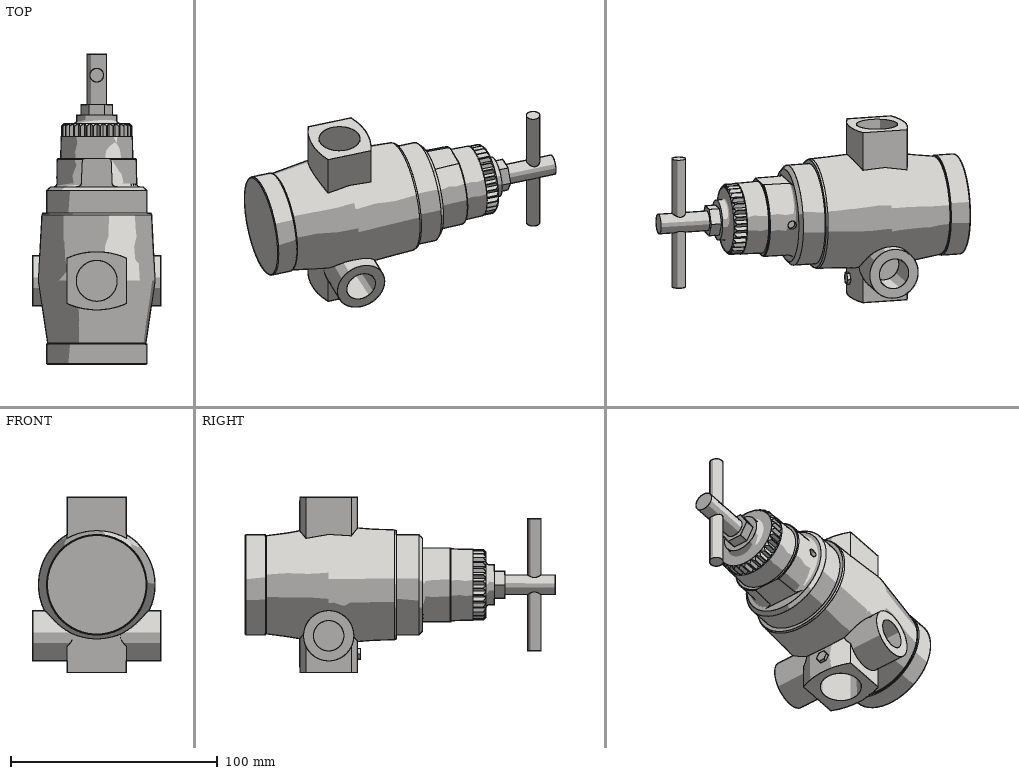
import cadquery as cq
import math


overall_length = 149.92

barrel_front_y = -30.1
barrel_rear_y = 32.7
barrel_front_radius = 23.8
barrel_mid_radius = 28.25
barrel_rear_radius = 26.6
barrel_edge_chamfer = 0.9
barrel_edge_chamfer_radial = 0.4

port_height = 84.84
port_width = 28.7
port_depth = 28.1
port_corner_depth = 22.0
port_bore_diameter = 19.8
port_bore_depth = 18.0

tube_length = 61.98
tube_diameter = 24.3
tube_z = -24.65
tube_bore_diameter = 14.7
tube_bore_depth = 18.0

plug_across_flats = 5.3
plug_height = 1.45
plug_z = -33.4

cap_front_y = -40.36
cap_radius = 24.3
cap_chamfer = 0.45
cap_groove_radius = 23.4
cap_groove_width = 0.5

ring_radius = cap_radius
ring_rear_y = 45.4
ring_chamfer = 1.8
neck_rear_y = 59.15
neck_front_radius = 19.4
neck_rear_radius = 19.2
neck_edge_chamfer = 0.4
neck_fillet = 1.5
neck_across_flats = 35.8
screw_hole_diameter = 4.0
screw_hole_depth = 2.5
screw_hole_y = 47.9

skirt_rear_y = 69.7
skirt_front_radius = 17.5
skirt_rear_radius = 17.25
grip_rear_y = 76.1
grip_radius = 17.05
grip_chamfer = 1.25
groove_count = 32
grip_groove_depth = 1.3
grip_land_width = 0.1
collar_radius = 9.75
collar_rear_y = 80.1
collar_fillet = 1.5

nut_across_flats = 13.2
nut_rear_y = 85.2
spindle_diameter = 9.6
spindle_rear_y = cap_front_y + overall_length
bar_diameter = 6.6
bar_length = 63.9
bar_y = 99.45


def revolve_about_y(points):
    """Solid of revolution about Y from (radius, y) outline points."""
    return cq.Workplane("XY").polyline(points).close().revolve(360, (0, 0, 0), (0, 1, 0))


def plane_at_y(y, z=0):
    """Work plane facing +Y whose local axes are -X and Z."""
    return cq.Workplane(cq.Plane(origin=(0, y, z), xDir=(-1, 0, 0), normal=(0, 1, 0)))


def hexagon(across_flats, y_start, y_end, z=0):
    """Hexagonal prism along Y with two corners on the X direction."""
    across_corners = across_flats / math.cos(math.pi / 6)
    return plane_at_y(y_start, z).polygon(6, across_corners).extrude(y_end - y_start)


def make_filleted_post(base_y, base_radius, top_y, top_radius, fillet, edge_chamfer=0.0):
    """Round post along Y with a concave fillet at its base and an optional chamfer at its top."""
    arc_inset = fillet * (1 - math.sqrt(0.5))
    outline = (
        cq.Workplane("XY")
        .moveTo(0, base_y)
        .lineTo(base_radius + fillet, base_y)
        .threePointArc(
            (base_radius + arc_inset, base_y + arc_inset),
            (base_radius, base_y + fillet),
        )
        .lineTo(top_radius, top_y - edge_chamfer)
    )
    if edge_chamfer > 0:
        outline = outline.lineTo(top_radius - edge_chamfer, top_y)
    return outline.lineTo(0, top_y).close().revolve(360, (0, 0, 0), (0, 1, 0))


def make_barrel():
    return revolve_about_y([
        (0, barrel_front_y),
        (barrel_front_radius, barrel_front_y),
        (barrel_mid_radius, 0),
        (barrel_rear_radius, barrel_rear_y - barrel_edge_chamfer),
        (barrel_rear_radius - barrel_edge_chamfer_radial, barrel_rear_y),
        (0, barrel_rear_y),
    ])


def make_port_block():
    """Prism along Z with flat sides and bowed front and rear faces."""
    half_width = port_width / 2
    half_corner = port_corner_depth / 2
    half_depth = port_depth / 2
    return (
        cq.Workplane("XY")
        .moveTo(-half_width, -half_corner)
        .threePointArc((0, -half_depth), (half_width, -half_corner))
        .lineTo(half_width, half_corner)
        .threePointArc((0, half_depth), (-half_width, half_corner))
        .close()
        .extrude(port_height / 2, both=True)
    )


def make_housing():
    tube = (
        cq.Workplane("YZ")
        .center(0, tube_z)
        .circle(tube_diameter / 2)
        .extrude(tube_length / 2, both=True)
    )
    plug = hexagon(plug_across_flats, 0, port_depth / 2 + plug_height, plug_z)
    body = make_barrel().union(make_port_block()).union(tube).union(plug)
    for side in (-1, 1):
        port_bore = (
            cq.Workplane("XY", origin=(0, 0, side * port_height / 2))
            .circle(port_bore_diameter / 2)
            .extrude(-side * port_bore_depth)
        )
        tube_bore = (
            cq.Workplane("YZ", origin=(side * tube_length / 2, 0, tube_z))
            .circle(tube_bore_diameter / 2)
            .extrude(-side * tube_bore_depth)
        )
        body = body.cut(port_bore).cut(tube_bore)
    return body


def make_end_cap():
    cap_rear_y = barrel_front_y - cap_groove_width
    return revolve_about_y([
        (0, cap_front_y),
        (cap_radius - cap_chamfer, cap_front_y),
        (cap_radius, cap_front_y + cap_chamfer),
        (cap_radius, cap_rear_y),
        (cap_groove_radius, cap_rear_y),
        (cap_groove_radius, barrel_front_y),
        (0, barrel_front_y),
    ])


def make_bonnet():
    ring = revolve_about_y([
        (0, barrel_rear_y),
        (ring_radius, barrel_rear_y),
        (ring_radius, ring_rear_y - ring_chamfer),
        (ring_radius - ring_chamfer, ring_rear_y),
        (0, ring_rear_y),
    ])
    neck = make_filleted_post(
        ring_rear_y, neck_front_radius, neck_rear_y, neck_rear_radius, neck_fillet, neck_edge_chamfer
    )
    flats = (
        plane_at_y(ring_rear_y)
        .rect(2 * ring_radius, neck_across_flats)
        .extrude(neck_rear_y - ring_rear_y)
    )
    screw_hole = (
        cq.Workplane("YZ", origin=(screw_hole_depth - neck_front_radius, screw_hole_y, 0))
        .circle(screw_hole_diameter / 2)
        .extrude(-2 * screw_hole_depth)
    )
    return ring.union(neck.intersect(flats)).cut(screw_hole)


def make_knob():
    skirt = revolve_about_y([
        (0, neck_rear_y),
        (skirt_front_radius, neck_rear_y),
        (skirt_rear_radius, skirt_rear_y),
        (0, skirt_rear_y),
    ])
    grip = revolve_about_y([
        (0, skirt_rear_y),
        (grip_radius, skirt_rear_y),
        (grip_radius, grip_rear_y - grip_chamfer),
        (grip_radius - grip_chamfer, grip_rear_y),
        (0, grip_rear_y),
    ])
    tooth_pitch = 2 * math.pi * grip_radius / groove_count
    groove_width = tooth_pitch - grip_land_width
    valley_radius = grip_radius - grip_groove_depth
    outer_radius = grip_radius + grip_groove_depth
    groove = (
        plane_at_y(skirt_rear_y)
        .polyline([
            (valley_radius, 0),
            (outer_radius, groove_width),
            (outer_radius, -groove_width),
        ])
        .close()
        .extrude(grip_rear_y - skirt_rear_y)
    )
    grooves = cq.Workplane("XY")
    for index in range(groove_count):
        grooves.add(groove.rotate((0, 0, 0), (0, 1, 0), index * 360 / groove_count))
    grip = grip.cut(cq.Workplane(cq.Compound.makeCompound(grooves.vals())))
    collar = make_filleted_post(grip_rear_y, collar_radius, collar_rear_y, collar_radius, collar_fillet)
    return skirt.union(grip).union(collar)


def make_t_handle():
    nut = hexagon(nut_across_flats, collar_rear_y, nut_rear_y)
    spindle_length = spindle_rear_y - collar_rear_y
    spindle = plane_at_y(collar_rear_y).circle(spindle_diameter / 2).extrude(spindle_length)
    bar = (
        cq.Workplane("XY", origin=(0, bar_y, 0))
        .circle(bar_diameter / 2)
        .extrude(bar_length / 2, both=True)
    )
    return nut.union(spindle).union(bar)


housing = make_housing()
end_cap = make_end_cap()
bonnet = make_bonnet()
knob = make_knob()
t_handle = make_t_handle()

result = cq.Compound.makeCompound([
    housing.val(),
    end_cap.val(),
    bonnet.val(),
    knob.val(),
    t_handle.val(),
])